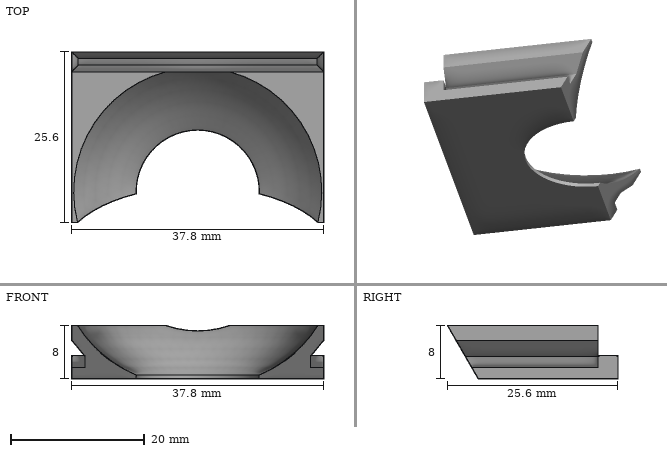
import cadquery as cq
import math

width = 37.8
depth = 25.6
height = 8.0
front_lean = 30.0
front_bottom_y = -depth + height * math.tan(math.radians(front_lean))

flange_depth = 3.0
flange_height = 3.5
tray_depth = 1.0
tray_side_angle = 45.0

channel_depth = 2.0
channel_floor = 1.75
undercut_start = 3.35
undercut_end = 5.8

bowl_top_radius = 18.6
hole_radius = 9.22
hole_lip = 0.55
bowl_axis_y = front_bottom_y
bowl_rise = height - hole_lip
center_above = (bowl_top_radius**2 - hole_radius**2 - bowl_rise**2) / (2 * bowl_rise)
bowl_sphere_radius = math.hypot(bowl_top_radius, center_above)


def make_body():
    """Side profile with the rear flange and leaning front, extruded across the width."""
    return (
        cq.Workplane("YZ")
        .moveTo(0, 0)
        .lineTo(0, flange_height)
        .lineTo(-flange_depth, flange_height)
        .lineTo(-flange_depth, height)
        .lineTo(-depth, height)
        .lineTo(front_bottom_y, 0)
        .close()
        .extrude(width / 2, both=True)
    )


def make_channel(side):
    """Channel from the flange out through the front, on side -1 (left) or +1 (right)."""
    outer_x = side * width / 2
    inner_x = side * (width / 2 - channel_depth)
    return (
        cq.Workplane("XZ", origin=(0, -flange_depth, 0))
        .moveTo(outer_x, channel_floor)
        .lineTo(inner_x, channel_floor)
        .lineTo(inner_x, undercut_start)
        .lineTo(outer_x, undercut_end)
        .close()
        .extrude(depth)
    )


def make_tray():
    """Pocket whose sloping sides start at the edges of the flange top."""
    return (
        cq.Workplane("XY", origin=(0, -flange_depth / 2, flange_height))
        .rect(width, flange_depth)
        .extrude(-tray_depth, taper=tray_side_angle)
    )


def make_bowl():
    """Sphere and hole that hollow out the middle of the block."""
    sphere = cq.Workplane("XY").sphere(bowl_sphere_radius)
    sphere = sphere.translate((0, bowl_axis_y, height + center_above))
    hole = cq.Workplane("XY").center(0, bowl_axis_y).circle(hole_radius).extrude(height)
    return sphere.union(hole)


result = make_body().cut(make_tray())
for side in (-1, 1):
    result = result.cut(make_channel(side))
result = result.cut(make_bowl())